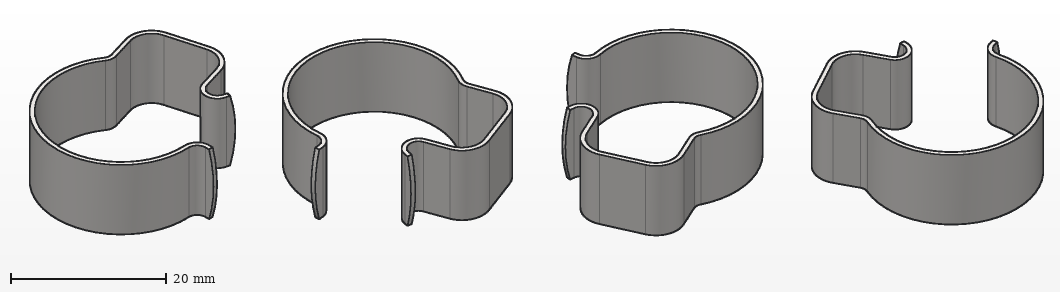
import cadquery as cq
import math

thickness = 0.68
width = 11.1

ring_outer_radius = 11.8
loop_top = 17.72
loop_half_width = 7.0
loop_corner_radius = 3.85
wall_foot = 10.2

coincidence_tolerance = 2.95e-07

curl_inner_radius = 1.5
hook_direction = 60.0
hook_length = 1.42
lip_centre_angle = -14.0
lip_direction = -15.0
lip_length = 1.48
crown_height = 0.8

half_thickness = thickness / 2
ring_radius = ring_outer_radius - half_thickness
corner_radius = loop_corner_radius - half_thickness
curl_radius = curl_inner_radius + half_thickness
corner_x = loop_half_width - loop_corner_radius
corner_y = loop_top - loop_corner_radius

knee_inner_radius = (loop_half_width**2 + wall_foot**2 - ring_outer_radius**2) / (
    2 * (ring_outer_radius - loop_half_width)
)
knee_radius = knee_inner_radius + half_thickness
knee_centre = (-loop_half_width - knee_inner_radius, wall_foot)
knee_angle = math.degrees(math.atan2(knee_centre[1], knee_centre[0]))
hook_centre = (loop_half_width + curl_inner_radius, wall_foot)


def polar(centre, radius, angle):
    a = math.radians(angle)
    return (centre[0] + radius * math.cos(a), centre[1] + radius * math.sin(a))


lip_centre = polar((0, 0), ring_outer_radius + curl_inner_radius, lip_centre_angle)

bends = [
    (hook_centre, curl_radius, hook_direction - 90, -180),
    ((corner_x, corner_y), corner_radius, 0, 90),
    ((-corner_x, corner_y), corner_radius, 90, 180),
    (knee_centre, knee_radius, 0, knee_angle - 180),
    ((0, 0), ring_radius, knee_angle, 360 + lip_centre_angle),
    (lip_centre, curl_radius, 180 + lip_centre_angle, 90 + lip_direction),
]
hook_base = polar(hook_centre, curl_radius, hook_direction - 90)
lip_base = polar(lip_centre, curl_radius, 90 + lip_direction)


def tip_point(base, direction, length, side_offset):
    """Point at the end of a straight tip, shifted to the left of its direction."""
    end = polar(base, length - crown_height, direction)
    return polar(end, side_offset, direction + 90)


def face_edges(offset):
    """Edges of one face of the strip; a positive offset is outside the ring."""
    edges = []
    last = tip_point(hook_base, hook_direction, hook_length, offset)
    for centre, mid_radius, start, end in bends:
        radius = mid_radius + math.copysign(1, end - start) * offset
        first = polar(centre, radius, start)
        if math.dist(last, first) > coincidence_tolerance:
            edges.append(cq.Edge.makeLine(cq.Vector(*last), cq.Vector(*first)))
        middle = polar(centre, radius, (start + end) / 2)
        last = polar(centre, radius, end)
        edges.append(
            cq.Edge.makeThreePointArc(cq.Vector(*first), cq.Vector(*middle), cq.Vector(*last))
        )
    tip = tip_point(lip_base, lip_direction, lip_length, -offset)
    edges.append(cq.Edge.makeLine(cq.Vector(*last), cq.Vector(*tip)))
    return edges


def make_strip():
    outer = face_edges(half_thickness)
    inner = face_edges(-half_thickness)
    ends = [
        cq.Edge.makeLine(outer[0].startPoint(), inner[0].startPoint()),
        cq.Edge.makeLine(outer[-1].endPoint(), inner[-1].endPoint()),
    ]
    outline = cq.Wire.combine(outer + inner + ends)[0]
    return cq.Workplane("XY").add(outline).toPending().extrude(width / 2, both=True)


def make_crown(base, direction, length):
    """Bulged tip edge: a circular segment across the strip width."""
    origin = tip_point(base, direction, length, 0)
    along = polar((0, 0), 1, direction)
    plane = cq.Plane(origin=(*origin, 0), xDir=(*along, 0), normal=(along[1], -along[0], 0))
    return (
        cq.Workplane(plane)
        .moveTo(0, -width / 2)
        .threePointArc((crown_height, 0), (0, width / 2))
        .close()
        .extrude(half_thickness, both=True)
    )


result = (
    make_strip()
    .union(make_crown(hook_base, hook_direction, hook_length))
    .union(make_crown(lip_base, lip_direction, lip_length))
)